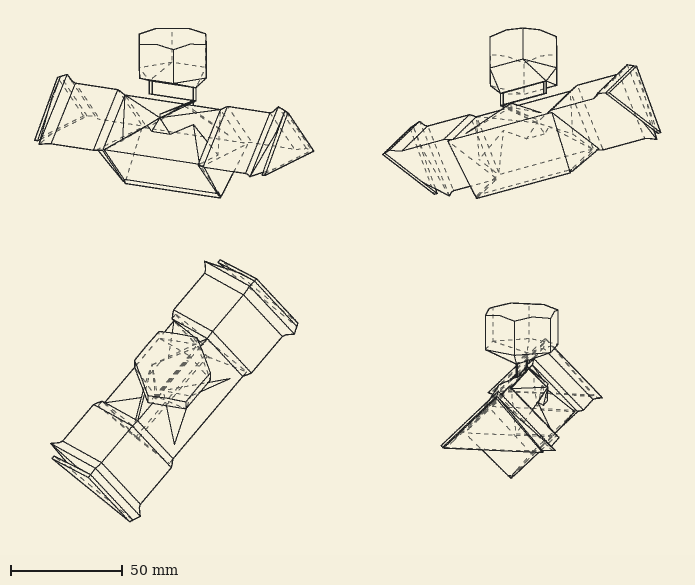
import cadquery as cq
import math

half_length = 59.0
body_half_length = 24.4
body_radius = 20.6
front_radius = 19.4
keel_lip_z = -18.4
belly_half_length = 27.1
belly_low_half_length = 24.7
belly_step_z = -19.4

socket_radius = 22.7
flange_width = 52.3
flange_radius = flange_width / 2
flange_x = 54.0
mouth_radius = 24.1
mouth_slope = (flange_radius - mouth_radius) / (half_length - flange_x)

plate_thickness = 1.5
plate_front_radius = 21.2
plate_inner_x = half_length - plate_thickness
plate_inner_radius = mouth_radius + mouth_slope * plate_thickness

socket_sections = [
    (body_half_length, body_radius),
    (25.4, 21.1),
    (26.4, 21.8),
    (28.1, socket_radius),
    (49.8, socket_radius),
    (51.3, 23.4),
    (flange_x, flange_radius),
    (plate_inner_x, plate_inner_radius),
]

branch_radius = 11.9
branch_bore_radius = 10.5
branch_bottom_z = 22.9
branch_top_z = 29.0
branch_wall = 0.4
branch_core_wall = 0.5
branch_foot_x = 8.3
foot_sink = 0.4
saddle_z = 16.4
saddle_strip_top_z = 18.0
saddle_sink = 0.2
front_saddle = (0, -branch_radius, saddle_z)

pocket_depth_y = -2.2
front_bulge_toe_x = 4.7
front_bulge_toe_z = 9.1
pocket_tip_x = 14.2
pocket_tip_z = 13.8
rear_bulge_toe_x = 19.6
rear_bulge_toe_z = 3.3
rear_bulge_ridge_x = 6.5

nut_corner_radius = 17.2
nut_flat_radius = nut_corner_radius * math.cos(math.pi / 6)
nut_top_z = 51.3
nut_corner_top_z = 50.0
nut_hex_bottom_z = 34.3


def polyhedron(faces):
    """Solid bounded by flat faces, each a list of corner points."""
    flat_faces = []
    for corners in faces:
        outline = cq.Wire.makePolygon([cq.Vector(*corner) for corner in corners], close=True)
        flat_faces.append(cq.Face.makeFromWires(outline))
    return cq.Solid.makeSolid(cq.Shell.makeShell(flat_faces))


def pyramid(base, apex):
    """Pyramid with a flat base polygon and one apex."""
    sides = [[base[i - 1], base[i], apex] for i in range(len(base))]
    return polyhedron([base] + sides)


def half_diamond(x, radius, front_reach):
    """Upper half of a diamond section in the plane at x."""
    corners = [(x, radius, 0), (x, 0, radius), (x, -front_reach, 0)]
    return cq.Wire.makePolygon([cq.Vector(*corner) for corner in corners], close=True)


def ring_of_points(radius, z, start_angle):
    """Six evenly spaced points around the Z axis."""
    angles = [start_angle + i * math.pi / 3 for i in range(6)]
    return [(radius * math.cos(angle), radius * math.sin(angle), z) for angle in angles]


def make_upper_body():
    section = [(body_radius, 0), (0, body_radius), (-front_radius, 0)]
    block = cq.Workplane("YZ").polyline(section).close()
    return block.extrude(body_half_length, both=True)


def make_belly():
    """Lower half of the body with sloping ends, thinned on -Y above a lip along its keel."""
    section = [(body_radius, 0), (0, -body_radius), (-body_radius, 0)]
    front_skin_layer = [
        (-body_radius, 0),
        (0, -body_radius),
        (-front_radius - keel_lip_z, keel_lip_z),
        (-front_radius, 0),
    ]
    side = [
        (belly_half_length, 0),
        (belly_low_half_length, belly_step_z),
        (body_half_length, belly_step_z),
        (body_half_length, -body_radius),
    ]
    mirrored_side = [(-x, z) for x, z in reversed(side)]
    trough = cq.Workplane("YZ").polyline(section).close().extrude(belly_half_length, both=True)
    profile = cq.Workplane("XZ").polyline(side + mirrored_side).close().extrude(body_radius, both=True)
    layer = cq.Workplane("YZ").polyline(front_skin_layer).close().extrude(body_half_length, both=True)
    return trough.intersect(profile).cut(layer)


def make_socket(side):
    """Stepped socket on the +X (side = 1) or -X (side = -1) end."""
    rings = [half_diamond(side * x, radius, radius) for x, radius in socket_sections]
    socket = cq.Workplane(obj=cq.Solid.makeLoft(rings, True))
    relief = [
        (side * half_length, 0),
        (side * flange_x, -flange_radius),
        (side * half_length, -flange_radius),
    ]
    return socket.cut(cq.Workplane("XY").polyline(relief).close().extrude(flange_radius))


def front_skin(x, z):
    """Point on the sloping -Y face of the upper body."""
    return (x, -front_radius * (1 - z / body_radius), z)


front_pocket_tip = front_skin(pocket_tip_x, pocket_tip_z)


def make_front_bulge():
    base = [
        (-body_half_length, 0, body_radius),
        front_skin(-front_bulge_toe_x, front_bulge_toe_z),
        front_skin(front_bulge_toe_x, front_bulge_toe_z),
        front_pocket_tip,
        (body_half_length, 0, body_radius),
    ]
    return pyramid(base, front_saddle)


def make_front_pocket(side, tip):
    """Three-sided pocket that narrows from a socket wall to its tip."""
    base = [
        (side * body_half_length, 0, body_radius),
        front_skin(side * body_half_length, 0),
        (side * body_half_length, pocket_depth_y, 0),
    ]
    return pyramid(base, tip)


def make_rear_bulge():
    toe_y = body_radius - rear_bulge_toe_z
    base = [
        (-rear_bulge_toe_x, toe_y, rear_bulge_toe_z),
        (rear_bulge_toe_x, toe_y, rear_bulge_toe_z),
        (rear_bulge_ridge_x, 0, body_radius),
    ]
    return pyramid(base, (0, branch_bore_radius, saddle_z))


def make_branch():
    """Thin upright branch wall with a foot on the body ridge."""
    outline = [
        (-branch_radius, branch_top_z),
        (branch_radius, branch_top_z),
        (branch_radius, branch_bottom_z),
        (branch_bore_radius, branch_bottom_z),
        (branch_bore_radius, body_radius - foot_sink),
        (branch_foot_x, body_radius - foot_sink),
        (branch_foot_x, body_radius),
        (branch_bore_radius - branch_wall, branch_bottom_z),
        (-branch_radius, branch_bottom_z),
    ]
    wall = cq.Workplane("XZ").polyline(outline).close().extrude(branch_wall / 2, both=True)
    height = branch_top_z - branch_bottom_z
    core = cq.Workplane("XY").workplane(offset=branch_bottom_z)
    core = core.rect(2 * branch_bore_radius, branch_core_wall).extrude(height)
    return wall.union(core)


def make_saddle_strip():
    """Narrow strip from the branch wall down to the front bulge."""
    base = [
        (0, -branch_radius + saddle_sink, saddle_z - saddle_sink),
        (0, -branch_radius, saddle_strip_top_z),
        (branch_bore_radius, 0, branch_bottom_z),
    ]
    return pyramid(base, (branch_radius, 0, branch_bottom_z))


def make_tee():
    tee = make_upper_body().union(make_belly())
    for side in (-1, 1):
        tee = tee.union(make_socket(side))
    for feature in (make_front_bulge(), make_rear_bulge()):
        tee = tee.union(cq.Workplane(obj=feature))
    for side, tip in ((-1, front_saddle), (1, front_pocket_tip)):
        tee = tee.cut(cq.Workplane(obj=make_front_pocket(side, tip)))
    return tee.union(make_branch()).union(cq.Workplane(obj=make_saddle_strip()))


def make_end_plate(side):
    inner = half_diamond(side * plate_inner_x, plate_inner_radius, plate_front_radius)
    outer = half_diamond(side * half_length, mouth_radius, plate_front_radius)
    return cq.Solid.makeLoft([inner, outer], True)


def make_nut():
    """Hexagon with bevelled top corners that narrows to a straight edge below."""
    low = ring_of_points(nut_corner_radius, nut_hex_bottom_z, 0)
    high = ring_of_points(nut_corner_radius, nut_corner_top_z, 0)
    crown = ring_of_points(nut_flat_radius, nut_top_z, math.pi / 6)
    edge_right = (branch_radius, 0, branch_top_z)
    edge_left = (-branch_radius, 0, branch_top_z)

    faces = [crown]
    for i in range(6):
        faces.append([low[i - 1], low[i], high[i], crown[i - 1], high[i - 1]])
        faces.append([crown[i - 1], high[i], crown[i]])
    faces.append([low[1], low[2], edge_left, edge_right])
    faces.append([low[4], low[5], edge_right, edge_left])
    for i, tip in ((0, edge_right), (1, edge_right), (3, edge_left), (4, edge_left)):
        faces.append([low[i - 1], low[i], tip])
    return polyhedron(faces)


tee = make_tee()
nut = make_nut()
end_plates = [make_end_plate(side) for side in (-1, 1)]

result = cq.Compound.makeCompound([tee.solids().val(), nut, *end_plates])